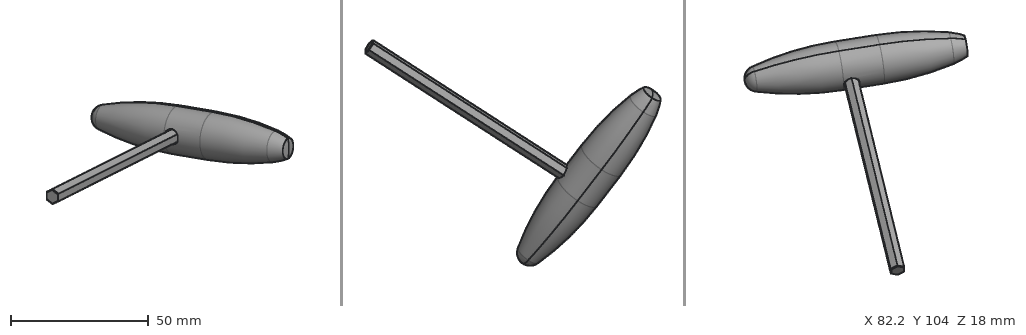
import cadquery as cq
import math


grip_length = 82.2
nose_length = 3.6
barrel_start = 34.8
barrel_end = 49.9
rear_start = 76.2
dome_height = 0.3

barrel_radius = 18.0 / 2
nose_radius = 4.7
rear_radius = 5.9
rim_radius = 3.8

overall_depth = 104.0
key_x = 38.0
key_across_flats = 5.0
key_across_corners = key_across_flats / math.cos(math.pi / 6)
key_chamfer = 0.26
key_tip_y = barrel_radius - overall_depth
key_root_y = 0.0
key_length = key_root_y - key_tip_y

X_AXIS = ((0, 0, 0), (1, 0, 0))


def arc_radius(length, drop):
    """Radius of an arc that leaves the X direction and falls by drop over length."""
    return (length**2 + drop**2) / (2 * drop)


def key_plane(y):
    """Plane across the blade at the given Y, with its normal towards -Y."""
    return cq.Plane(origin=(key_x, y, 0), xDir=(1, 0, 0), normal=(0, -1, 0))


def make_grip_half():
    """Half of the grip on the key side of the Y = 0 parting plane.

    The profile runs from the rounded nose over the barrel to a tapered, slightly
    domed rear end.
    """
    nose_sphere_radius = arc_radius(nose_radius, nose_length)
    front_arc_radius = arc_radius(barrel_start - nose_length, barrel_radius - nose_radius)
    rear_arc_radius = arc_radius(rear_start - barrel_end, barrel_radius - rear_radius)
    dome_radius = arc_radius(rim_radius, dome_height)
    return (
        cq.Workplane("XZ")
        .moveTo(0, 0)
        .radiusArc((nose_length, nose_radius), nose_sphere_radius)
        .radiusArc((barrel_start, barrel_radius), front_arc_radius)
        .lineTo(barrel_end, barrel_radius)
        .radiusArc((rear_start, rear_radius), rear_arc_radius)
        .tangentArcPoint((grip_length - dome_height, rim_radius), relative=False)
        .radiusArc((grip_length, 0), dome_radius)
        .close()
        .revolve(180, *X_AXIS)
    )


def cut_key_socket(half):
    """Round socket whose wall touches the corners of the hexagonal blade."""
    socket = cq.Workplane(key_plane(key_root_y)).circle(key_across_corners / 2).extrude(key_length)
    return half.cut(socket)


def make_key():
    """Hexagonal blade with corners up and down and a chamfered tip."""
    return (
        cq.Workplane(key_plane(key_root_y))
        .transformed(rotate=(0, 0, 90))
        .polygon(6, key_across_corners)
        .extrude(key_length)
        .faces("<Y")
        .chamfer(key_chamfer)
    )


front_half = cut_key_socket(make_grip_half())
back_half = make_grip_half().mirror("XZ")
key = make_key()

result = cq.Compound.makeCompound([front_half.val(), back_half.val(), key.val()])